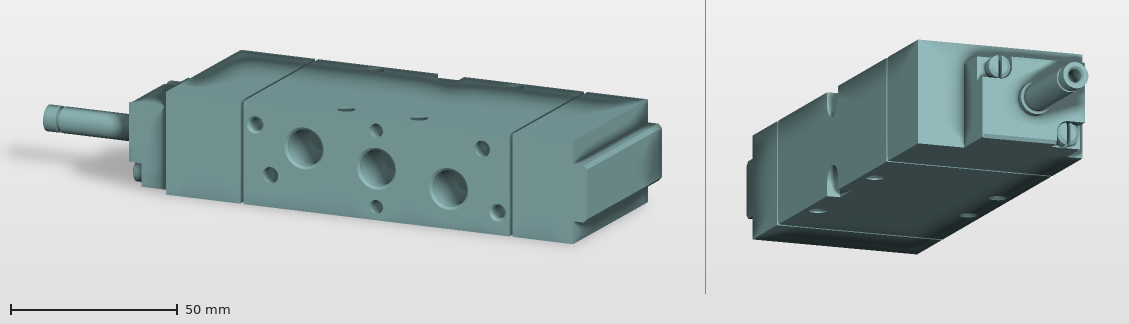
import cadquery as cq


WIDTH = 53.0
HEIGHT = 32.0
BODY_LENGTH = 87.8
JOINT_WIDTH = 1.1
JOINT_DEPTH = 1.3
PILOT_CAP_LENGTH = 24.5
END_CAP_LENGTH = 20.0
BUMPER_LENGTH = 4.7
BUMPER_HEIGHT = 17.7
BUMPER_CHAMFER = 1.1

BLOCK_LENGTH = 14.7
BLOCK_Y_MIN = -21.5
BLOCK_Y_MAX = 11.7
BLOCK_TOP = 9.8
BEVEL_X = 0.65
BEVEL_Z = 1.1
BEVEL_END_LIP = 0.4

SCREW_DIAMETER = 7.0
SCREW_CHAMFER = 0.5
SCREW_CHAMFER_LENGTH = 1.1
SLOT_WIDTH = 1.1
SLOT_DEPTH = 2.8
RECESS_DEPTH = 4.1
RECESS_RADIUS = 3.8
UPPER_SCREW = (5.8, 6.4)
LOWER_SCREW = (-16.2, -12.5)

OVERALL_LENGTH = 188.0
STEM_Y = -4.9
STEM_Z = -3.0
STEM_DIAMETER = 8.0
COLLAR_DIAMETER = 10.0
COLLAR_LENGTH = 2.5
RING_GROOVE_DIAMETER = 7.0
RING_GROOVE_WIDTH = 1.1
RING_GROOVE_FROM_TIP = 4.1

THREAD_DIAMETER = 4.1
THREAD_MOUTH_DIAMETER = 5.5
THREAD_DEPTH = 7.5
THREAD_HOLE_X = 40.0
THREAD_HOLE_Z = 9.0

PORT_DIAMETER = 11.5
PORT_MOUTH_DIAMETER = 13.0
PORT_MOUTH_ANGLE = 45
PORT_DEPTH = 17.0
PORT_PITCH = 23.9
PORT_STEP = 3.5

LOCATING_DIAMETER = 5.0
LOCATING_DEPTH = 3.8
LOCATING_HOLES = ((-35.0, -6.0), (35.0, 10.2))

CROSS_HOLE_DIAMETER = 4.3
CROSS_HOLE_Z = 11.8
HEAD_POCKET_WIDTH = 8.6
HEAD_POCKET_DEPTH = 4.1

MOUNT_DIAMETER = 5.5
MOUNT_Y = 22.0
BACK_MOUNT_X = 23.1
FRONT_MOUNT_X = 12.0

FRONT_Y = -WIDTH / 2
BACK_Y = WIDTH / 2
BOTTOM_Z = -HEIGHT / 2
JOINT_X = (BODY_LENGTH + JOINT_WIDTH) / 2
PILOT_X = -BODY_LENGTH / 2 - JOINT_WIDTH - PILOT_CAP_LENGTH
END_X = BODY_LENGTH / 2 + JOINT_WIDTH + END_CAP_LENGTH
BUMPER_X = END_X + BUMPER_LENGTH
BLOCK_X = PILOT_X - BLOCK_LENGTH
TIP_X = BUMPER_X - OVERALL_LENGTH


def box(x_range, y_range, z_range):
    """Axis-aligned box between the given limits."""
    (x0, x1), (y0, y1), (z0, z1) = x_range, y_range, z_range
    return cq.Workplane("XY").box(x1 - x0, y1 - y0, z1 - z0, centered=False).translate((x0, y0, z0))


def cylinder_x(x, y, z, diameter, length):
    """Cylinder starting at (x, y, z) and running toward +X."""
    return cq.Workplane("YZ", origin=(x, y, z)).circle(diameter / 2).extrude(length)


def cylinder_y(x, y, z, diameter, length):
    """Cylinder starting at (x, y, z) and running toward +Y."""
    return cq.Workplane("XZ", origin=(x, y, z)).circle(diameter / 2).extrude(-length)


def threaded_hole():
    """Cutter with its mouth at the origin, running toward +Y."""
    bore = THREAD_DIAMETER / 2
    mouth = THREAD_MOUTH_DIAMETER / 2
    profile = [(0, 0), (mouth, 0), (bore, mouth - bore), (bore, THREAD_DEPTH), (0, THREAD_DEPTH + bore)]
    return cq.Workplane("XY").polyline(profile).close().revolve(360, (0, 0, 0), (0, 1, 0))


def make_body():
    """Valve body and both caps, parted by shallow grooves, with the end bumper."""
    body = box((PILOT_X, END_X), (FRONT_Y, BACK_Y), (BOTTOM_Z, -BOTTOM_Z))
    for x in (-JOINT_X, JOINT_X):
        groove = cq.Workplane("YZ", origin=(x, 0, 0)).rect(WIDTH, HEIGHT)
        groove = groove.rect(WIDTH - 2 * JOINT_DEPTH, HEIGHT - 2 * JOINT_DEPTH)
        body = body.cut(groove.extrude(JOINT_WIDTH / 2, both=True))
    bumper = box((END_X, BUMPER_X), (FRONT_Y, BACK_Y), (-BUMPER_HEIGHT / 2, BUMPER_HEIGHT / 2))
    return body.union(bumper.faces(">X").edges("|Y").chamfer(BUMPER_CHAMFER))


def cut_body_holes(body):
    """Ports, threaded, locating and mounting holes of the valve body."""
    mouth_depth = (PORT_MOUTH_DIAMETER - PORT_DIAMETER) / 2
    for step in (-1, 0, 1):
        x = step * PORT_PITCH
        z = -step * PORT_STEP
        port = cylinder_y(x, FRONT_Y, z, PORT_DIAMETER, PORT_DEPTH)
        mouth = cq.Workplane("XZ", origin=(x, FRONT_Y, z))
        mouth = mouth.circle(PORT_MOUTH_DIAMETER / 2).extrude(-mouth_depth, taper=PORT_MOUTH_ANGLE)
        body = body.cut(port).cut(mouth)

    for side in (-1, 1):
        thread = threaded_hole().translate((side * THREAD_HOLE_X, FRONT_Y, -side * THREAD_HOLE_Z))
        body = body.cut(thread)

    for x, z in LOCATING_HOLES:
        body = body.cut(cylinder_y(x, FRONT_Y, z, LOCATING_DIAMETER, LOCATING_DEPTH))

    pocket_y = BACK_Y - HEAD_POCKET_DEPTH
    half_pocket = HEAD_POCKET_WIDTH / 2
    for side in (-1, 1):
        z = side * CROSS_HOLE_Z
        open_z = sorted((z, -side * BOTTOM_Z))
        body = body.cut(cylinder_y(0, FRONT_Y, z, CROSS_HOLE_DIAMETER, WIDTH))
        body = body.cut(cylinder_y(0, pocket_y, z, HEAD_POCKET_WIDTH, HEAD_POCKET_DEPTH))
        body = body.cut(box((-half_pocket, half_pocket), (pocket_y, BACK_Y), open_z))

    mounts = [(side * BACK_MOUNT_X, MOUNT_Y) for side in (-1, 1)]
    mounts += [(side * FRONT_MOUNT_X, -MOUNT_Y) for side in (-1, 1)]
    drills = cq.Workplane("XY", origin=(0, 0, BOTTOM_Z)).pushPoints(mounts)
    return body.cut(drills.circle(MOUNT_DIAMETER / 2).extrude(HEIGHT))


def make_screw(y, z):
    """Slotted cheese-head screw, its head flush with the block face."""
    screw = cylinder_x(BLOCK_X, y, z, SCREW_DIAMETER, RECESS_DEPTH)
    screw = screw.faces("<X").chamfer(SCREW_CHAMFER, SCREW_CHAMFER_LENGTH)
    half_slot = SLOT_WIDTH / 2
    half_head = SCREW_DIAMETER / 2
    slot = box(
        (BLOCK_X, BLOCK_X + SLOT_DEPTH),
        (y - half_slot, y + half_slot),
        (z - half_head, z + half_head),
    )
    return screw.cut(slot)


def bevel_cutter(corner_z, side):
    """Wedge that bevels one long edge of the block face, leaving a thin lip at each end."""
    wedge = cq.Workplane("XZ", origin=(0, BLOCK_Y_MIN + BEVEL_END_LIP, 0)).polyline([
        (BLOCK_X, corner_z),
        (BLOCK_X + BEVEL_X, corner_z),
        (BLOCK_X, corner_z - side * BEVEL_Z),
    ])
    return wedge.close().extrude(BLOCK_Y_MIN - BLOCK_Y_MAX + 2 * BEVEL_END_LIP)


def make_block():
    """Solenoid block with bevelled face edges and two corner screws."""
    block = box((BLOCK_X, PILOT_X), (BLOCK_Y_MIN, BLOCK_Y_MAX), (BOTTOM_Z, BLOCK_TOP))
    recess_x = (BLOCK_X, BLOCK_X + RECESS_DEPTH)
    corners = (
        (UPPER_SCREW, BLOCK_Y_MAX, BLOCK_TOP, 1),
        (LOWER_SCREW, BLOCK_Y_MIN, BOTTOM_Z, -1),
    )
    for (y, z), corner_y, corner_z, side in corners:
        block = block.cut(bevel_cutter(corner_z, side))
        round_end = cylinder_x(BLOCK_X, y, z, 2 * RECESS_RADIUS, RECESS_DEPTH)
        edge_y = y - side * RECESS_RADIUS
        edge_z = z - side * RECESS_RADIUS
        across = box(recess_x, sorted((y, corner_y)), sorted((edge_z, corner_z)))
        along = box(recess_x, sorted((edge_y, corner_y)), sorted((z, corner_z)))
        block = block.cut(round_end).cut(across).cut(along)
        block = block.union(make_screw(y, z))
    return block


def make_stem():
    """Armature stem with collar, retaining-ring groove and threaded end."""
    length = BLOCK_X - TIP_X
    stem = cylinder_x(TIP_X, STEM_Y, STEM_Z, STEM_DIAMETER, length)
    stem = stem.union(cylinder_x(BLOCK_X - COLLAR_LENGTH, STEM_Y, STEM_Z, COLLAR_DIAMETER, COLLAR_LENGTH))
    groove = cq.Workplane("YZ", origin=(TIP_X + RING_GROOVE_FROM_TIP, STEM_Y, STEM_Z))
    groove = groove.circle(STEM_DIAMETER / 2).circle(RING_GROOVE_DIAMETER / 2).extrude(RING_GROOVE_WIDTH)
    thread = threaded_hole().rotate((0, 0, 0), (0, 0, 1), -90).translate((TIP_X, STEM_Y, STEM_Z))
    return stem.cut(groove).cut(thread)


result = cut_body_holes(make_body()).union(make_block()).union(make_stem())